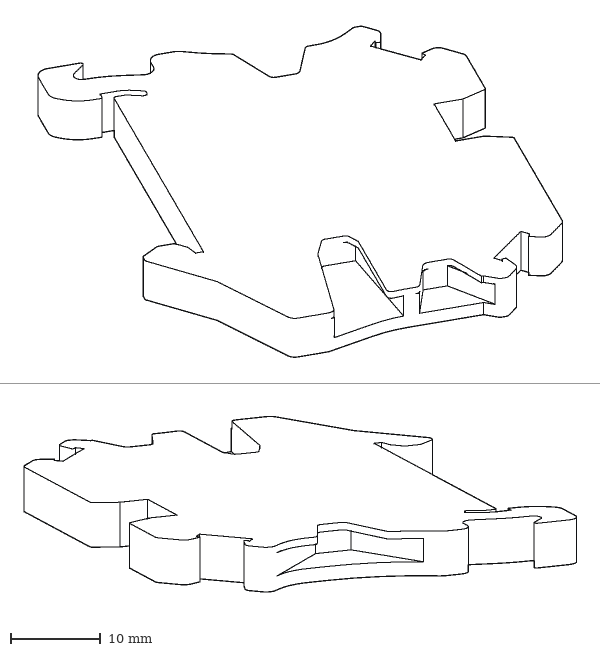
import cadquery as cq
import math

width = 57.8
height = 46.9
thickness = 5.15

base_thickness = 1.6
cover_thickness = 0.85
pocket_thickness = thickness - base_thickness - cover_thickness

symmetry_x = 29.35

well_left = 19.9
well_right = 27.9
well_floor = 40.45
well_flare_y = 43.8
well_flare = 1.2

rail_y = 6.75
rail_left = 7.85
rail_right = 41.5

left_waist_x = 4.2
right_waist_x = 55.6

mouth_radius = 0.6


def mirrored(corners):
    """Mirror (x, y, radius) corners and reverse them to keep the travel direction."""
    return [(2 * symmetry_x - x, y, radius) for x, y, radius in reversed(corners)]


def rounded_outline(corners, z=0.0):
    """Closed wire through (x, y, radius) corners; a zero radius leaves the corner sharp."""
    path = []
    for i, (x, y, radius) in enumerate(corners):
        if radius == 0:
            path.append([(x, y)])
            continue
        before = corners[i - 1]
        after = corners[(i + 1) % len(corners)]
        corner = cq.Vector(x, y)
        to_before = (cq.Vector(before[0], before[1]) - corner).normalized()
        to_after = (cq.Vector(after[0], after[1]) - corner).normalized()
        half_angle = to_before.getAngle(to_after) / 2
        tangent_length = radius / math.tan(half_angle)
        arc_gap = radius / math.sin(half_angle) - radius
        bisector = (to_before + to_after).normalized()
        arc = [
            corner + to_before * tangent_length,
            corner + bisector * arc_gap,
            corner + to_after * tangent_length,
        ]
        path.append([(point.x, point.y) for point in arc])

    outline = cq.Workplane("XY", origin=(0, 0, z)).moveTo(*path[0][-1])
    for points in path[1:] + path[:1]:
        outline = outline.lineTo(*points[0])
        if len(points) > 1:
            outline = outline.threePointArc(points[1], points[2])
    return outline.close()



left_shoulder = [
    (2.0, 36.65, 0.85),
    (2.0, 37.55, 0.7),
    (3.75, 39.3, 0.85),
    (5.9, 38.55, 0.1),
    (5.85, 38.1, 0),
    (5.5, 38.05, 0),
    (6.3, 37.3, 0),
    (10.7, 41.8, 0),
    (9.95, 42.55, 0),
    (9.4, 42.3, 0),
    (8.6, 44.35, 1.15),
    (11.15, height, 0.85),
]

top_well = [
    (well_left - well_flare, height, 0.35),
    (well_left, well_flare_y, 0),
    (well_left, well_floor, 0),
    (well_right, well_floor, 0),
    (well_right, well_flare_y, 0),
    (well_right + well_flare, height, 0.35),
]

right_flank = [
    (right_waist_x, 35.1, 0),
    (right_waist_x, 24.05, 16.2),
    (width, 16.3, 1.45),
    (width, 12.0, 1.15),
    (47.85, 6.35, 0),
]

right_rail_claw = [
    (41.4, 0, 0.45),
    (40.45, 0, 0.45),
    (38.9, 2.2, 0.6),
    (38.9, 4.15, 0.25),
    (40.1, 5.4, 0.25),
    (rail_right, 5.85, 0),
]

rail_edge = [
    (rail_right, rail_y, 0),
    (rail_left, rail_y, 0.3),
]

foot_slit = [
    (rail_left, 8.2, 1.15),
    (8.85, 10.6, 0.45),
    (7.75, 10.6, 0.35),
    (6.8, 8.45, 4.6),
    (6.8, 5.55, 0),
]

left_foot = [
    (7.75, 5.55, 0.25),
    (7.7, 2.4, 5.8),
    (5.8, 0, 1.45),
    (0, 0, 1.55),
    (0, 6.0, 0.3),
    (3.35, 2.55, 0.85),
    (3.35, 6.95, 18.5),
    (4.8, 12.9, 1.3),
    (0.85, 12.9, 1.4),
]

left_flank = [
    (0.85, 16.5, 2.3),
    (left_waist_x, 22.7, 25.1),
    (left_waist_x, 33.65, 6.55),
]

outline_corners = (
    left_shoulder
    + top_well
    + mirrored(left_shoulder)
    + right_flank
    + right_rail_claw
    + rail_edge
    + foot_slit
    + left_foot
    + left_flank
)

overrun = 4.6

left_notch = [
    (left_waist_x - overrun, 32.4, 0),
    (9.3, 28.05, 0.7),
    (9.3, 24.8, 0.7),
    (3.25 - overrun, 20.05, 0),
]

right_notch = [
    (right_waist_x + overrun, 37.0, 0),
    (51.1, 32.7, 0.7),
    (51.1, 29.4, 0.85),
    (right_waist_x + overrun, 25.7, 0),
]

slot_lower_wall = [
    (43.05, 20.1, 0.6),
    (45.8, 18.8, 0.6),
    (width + overrun, 16.3, 0),
]

right_slot = [
    (width + overrun, 23.9, 0),
    (44.6, 23.9, 0.3),
    (43.05, 23.05, 0.7),
] + slot_lower_wall

left_pocket = [
    (2.4 - overrun, 36.05, 0),
    (2.4, 36.05, 0),
    (10.25, 27.85, 0),
    (10.25, 23.5, 0),
    (1.6, 18.25, 0),
    (1.6 - overrun, 18.25, 0),
]

upper_right_pocket = [
    (56.3 + overrun, 36.2, 0),
    (56.3, 36.2, 0),
    (51.1, 32.25, 0),
    (51.1, 29.4, 0),
    (right_waist_x + overrun, 25.7, 0),
]

lower_right_pocket = [
    (width + overrun, 26.65, 0),
    (43.05, 24.05, 0),
] + slot_lower_wall

notch_mouths = [
    (left_waist_x, 30.4),
    (3.2, 22.0),
    (right_waist_x, 27.55),
    (55.85, 23.9),
    (57.55, 17.05),
]


def layer(corners, z, layer_thickness):
    return rounded_outline(corners, z).extrude(layer_thickness)


def make_base():
    return layer(outline_corners, 0, base_thickness)


def make_pocket_layer():
    body = layer(outline_corners, base_thickness, pocket_thickness)
    for pocket in (left_pocket, upper_right_pocket, lower_right_pocket):
        body = body.cut(layer(pocket, base_thickness, pocket_thickness))
    return body


def make_cover():
    bottom = thickness - cover_thickness
    cover = layer(outline_corners, bottom, cover_thickness)
    for notch in (left_notch, right_notch, right_slot):
        cover = cover.cut(layer(notch, bottom, cover_thickness))
    middle = bottom + cover_thickness / 2
    for x, y in notch_mouths:
        mouth_edge = cq.selectors.NearestToPointSelector((x, y, middle))
        cover = cover.edges("|Z").edges(mouth_edge).fillet(mouth_radius)
    return cover


result = make_base().union(make_pocket_layer()).union(make_cover())